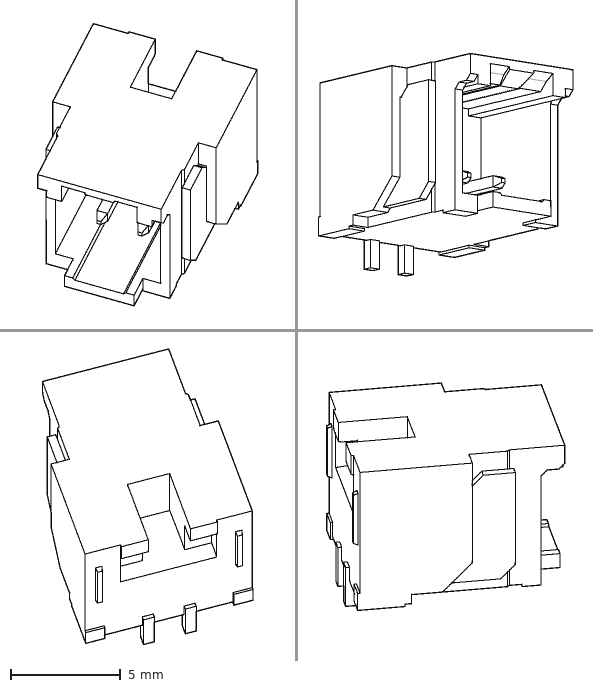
import cadquery as cq

top_z = 7.11
base_z = 0.12
face_y = 1.12
roof_front_y = 0.02
back_y = 9.69
pad_back_y = 9.8
front_half_width = 3.02
rear_half_width = 3.13
rear_step_y = 2.7
eave_z = 5.9
eave_slope = 0.28

wing_half_width = 4.0
wing_front_y = 4.48
wing_slope_top_z = 1.97
wing_slope_run = 1.38
wing_step_y = 7.31

foot_rear_y = 7.6
foot_rear_half_inner = 3.08
foot_rear_height = 0.88
foot_front_half_inner = 1.69
foot_front_length = 0.88

cavity_half_width = 2.57
cavity_floor_z = 0.84
cavity_top_z = 5.75
cavity_back_y = 6.14
tongue_half_width = 1.7
groove_half_width = 1.19
groove_depth = 0.11
groove_side_run = 0.11

window_half_width = 1.84
window_front_z = 6.78
window_bend_z = 6.48
window_rear_z = 6.08
window_bend_run = 0.49
key_top_half_width = 0.73
key_bottom_half_width = 0.54
key_front_z = 6.65
key_bottom_z = 6.04
key_ramp_run = 0.88

slot_half_width = 1.01
slot_front_y = 6.6
slot_floor_z = 4.11
slot_floor_crown = 0.08
recess_half_width = 2.3
recess_front_y = 8.91
pad_bottom_z = 6.09
pad_undercut = 0.05

clip_half_outer = 3.53
clip_front_y = 2.41
clip_top_z = 6.19
clip_bottom_z = 0.77
clip_top_chamfer = 0.495
clip_shoulder_y = 4.39
clip_front_chamfer = 0.68
clip_rear_y = 5.94
tab_center_x = 3.35
tab_center_z = 4.44
tab_root_size = (0.3, 2.65)
tab_tip_size = (0.24, 2.49)
tab_tip_y = 9.9

pin_pitch = 2.0
pin_size = 0.52
pin_tip_size = 0.2
pin_center_z = 2.09
pin_tip_y = 2.57
pin_taper_length = 0.44
leg_back_y = 9.87
leg_thickness = 0.48
leg_top_z = 0.81
leg_bottom_z = -1.2

mark_left_x = -2.25
mark_right_x = -1.73
mark_half_height = 0.3
mark_depth = 0.05


def block(x, y, z):
    """Box spanning the given (low, high) ranges."""
    size = (x[1] - x[0], y[1] - y[0], z[1] - z[0])
    return cq.Workplane("XY").box(*size, centered=False).translate((x[0], y[0], z[0]))


def centered_block(half_width, y, z):
    return block((-half_width, half_width), y, z)


def side_profile(points, x):
    """Outline of (y, z) points extruded over the (low, high) range x."""
    return cq.Workplane("YZ", origin=(x[0], 0, 0)).polyline(points).close().extrude(x[1] - x[0])


def front_profile(points, y):
    """Outline of (x, z) points extruded over the (low, high) range y."""
    return cq.Workplane("XZ", origin=(0, y[0], 0)).polyline(points).close().extrude(y[0] - y[1])


def both_sides(shape):
    return shape.union(shape.mirror("YZ"))


def make_shell():
    outline = [
        (roof_front_y, top_z),
        (back_y, top_z),
        (back_y, base_z),
        (face_y, base_z),
        (face_y, eave_z - eave_slope),
        (face_y - eave_slope, eave_z),
        (roof_front_y + eave_slope, eave_z),
        (roof_front_y, eave_z + eave_slope),
    ]
    shell = side_profile(outline, (-front_half_width, front_half_width))
    step = rear_half_width - front_half_width
    rear_plan = [
        (-front_half_width, rear_step_y - step),
        (front_half_width, rear_step_y - step),
        (rear_half_width, rear_step_y),
        (rear_half_width, back_y),
        (-rear_half_width, back_y),
        (-rear_half_width, rear_step_y),
    ]
    rear = cq.Workplane("XY", origin=(0, 0, base_z)).polyline(rear_plan).close().extrude(top_z - base_z)
    lips = centered_block(cavity_half_width, (roof_front_y, face_y), (cavity_top_z, top_z))
    tongue = centered_block(tongue_half_width, (0, face_y), (base_z, cavity_floor_z))
    return shell.union(rear).union(lips).union(tongue)


def make_wing():
    slope_bottom_z = wing_slope_top_z - wing_slope_run
    outline = [
        (wing_front_y, top_z),
        (back_y, top_z),
        (back_y, base_z),
        (wing_step_y, base_z),
        (wing_step_y, slope_bottom_z),
        (wing_front_y + wing_slope_run, slope_bottom_z),
        (wing_front_y, wing_slope_top_z),
    ]
    return side_profile(outline, (front_half_width, wing_half_width))


def make_feet():
    rear_x = (foot_rear_half_inner, wing_half_width)
    rear = block(rear_x, (foot_rear_y, back_y), (0, foot_rear_height))
    heel = block(rear_x, (back_y, pad_back_y), (0, foot_rear_height))
    front_y = (face_y, face_y + foot_front_length)
    front = block((foot_front_half_inner, front_half_width), front_y, (0, base_z))
    return rear.union(heel).union(front)


def make_roof_pad():
    outline = [
        (back_y, top_z),
        (pad_back_y, top_z),
        (pad_back_y, pad_bottom_z + pad_undercut),
        (back_y, pad_bottom_z),
    ]
    return side_profile(outline, (slot_half_width, recess_half_width))


def make_clip():
    plate_outline = [
        (clip_front_y, clip_top_z),
        (clip_shoulder_y - clip_top_chamfer, clip_top_z),
        (clip_shoulder_y, clip_top_z - clip_top_chamfer),
        (clip_rear_y, clip_top_z - clip_top_chamfer),
        (clip_rear_y, clip_bottom_z),
        (clip_front_y + clip_front_chamfer, clip_bottom_z),
        (clip_front_y, clip_bottom_z + clip_front_chamfer),
    ]
    plate = side_profile(plate_outline, (rear_half_width, clip_half_outer))
    tab = (
        cq.Workplane("XZ", origin=(tab_center_x, back_y, tab_center_z))
        .rect(*tab_root_size)
        .workplane(offset=back_y - tab_tip_y)
        .rect(*tab_tip_size)
        .loft(combine=True)
    )
    return plate.union(tab)


def make_cavity():
    chamber = centered_block(cavity_half_width, (roof_front_y, cavity_back_y), (cavity_floor_z, cavity_top_z))
    groove_z = cavity_floor_z - groove_depth
    groove_top = groove_half_width + groove_side_run
    groove_outline = [
        (-groove_half_width, groove_z),
        (groove_half_width, groove_z),
        (groove_top, cavity_floor_z),
        (-groove_top, cavity_floor_z),
    ]
    groove = front_profile(groove_outline, (0, cavity_back_y))
    bend_y = roof_front_y + window_bend_run
    rear_y = bend_y + window_bend_z - window_rear_z
    window_outline = [
        (roof_front_y, cavity_top_z),
        (roof_front_y, window_front_z),
        (bend_y, window_bend_z),
        (rear_y, window_rear_z),
        (cavity_back_y, window_rear_z),
        (cavity_back_y, cavity_top_z),
    ]
    window = side_profile(window_outline, (-window_half_width, window_half_width))
    return chamber.union(groove).union(window)


def make_key():
    side_outline = [
        (roof_front_y, window_front_z),
        (roof_front_y, key_front_z),
        (roof_front_y + key_ramp_run, key_bottom_z),
        (cavity_back_y, key_bottom_z),
        (cavity_back_y, window_front_z),
    ]
    section = [
        (-key_top_half_width, window_front_z),
        (key_top_half_width, window_front_z),
        (key_bottom_half_width, key_bottom_z),
        (-key_bottom_half_width, key_bottom_z),
    ]
    ramp = side_profile(side_outline, (-key_top_half_width, key_top_half_width))
    return ramp.intersect(front_profile(section, (roof_front_y, cavity_back_y)))


def make_crowned_channel(half_width):
    """Open-backed channel whose floor is a shallow arch from front to back."""
    middle_y = (slot_front_y + back_y) / 2
    return (
        cq.Workplane("YZ", origin=(-half_width, 0, 0))
        .moveTo(slot_front_y, top_z)
        .lineTo(slot_front_y, slot_floor_z)
        .threePointArc((middle_y, slot_floor_z + slot_floor_crown), (back_y, slot_floor_z))
        .lineTo(back_y, top_z)
        .close()
        .extrude(2 * half_width)
    )


def make_back_openings():
    recess_space = centered_block(recess_half_width, (recess_front_y, back_y), (base_z, pad_bottom_z))
    recess = make_crowned_channel(recess_half_width).intersect(recess_space)
    return make_crowned_channel(slot_half_width).union(recess)


def make_pin(x):
    taper_end_y = pin_tip_y + pin_taper_length
    tip = (
        cq.Workplane("XZ", origin=(x, pin_tip_y, pin_center_z))
        .rect(pin_tip_size, pin_tip_size)
        .workplane(offset=-pin_taper_length)
        .rect(pin_size, pin_size)
        .loft(combine=True)
    )
    pin_x = (x - pin_size / 2, x + pin_size / 2)
    bar_z = (pin_center_z - pin_size / 2, pin_center_z + pin_size / 2)
    bar = block(pin_x, (taper_end_y, cavity_back_y), bar_z)
    leg = block(pin_x, (leg_back_y - leg_thickness, leg_back_y), (leg_bottom_z, leg_top_z))
    return tip.union(bar).union(leg)


def make_mark():
    triangle = [
        (mark_left_x, pin_center_z - mark_half_height),
        (mark_right_x, pin_center_z),
        (mark_left_x, pin_center_z + mark_half_height),
    ]
    return front_profile(triangle, (cavity_back_y, cavity_back_y + mark_depth))


result = make_shell().cut(make_cavity()).union(make_key())
for side_feature in (make_wing(), make_feet(), make_roof_pad()):
    result = result.union(both_sides(side_feature))
result = result.cut(make_back_openings()).cut(make_mark())
result = result.union(both_sides(make_clip()))
result = result.union(both_sides(make_pin(pin_pitch / 2)))